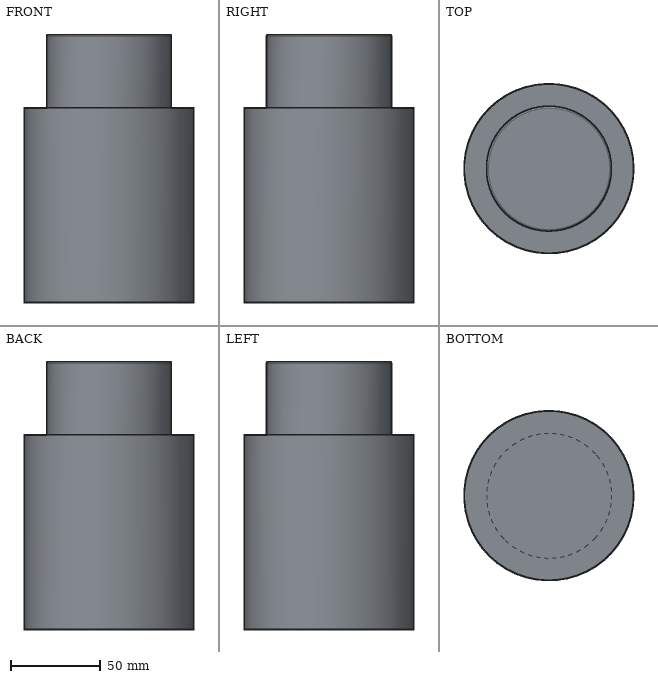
import cadquery as cq

body_diameter = 95.0
neck_diameter = 70.0
total_height = 150.0
body_height = 109.0
neck_height = total_height - body_height
top_edge_radius = 1.0


def make_body():
    """Wide lower cylinder."""
    return cq.Workplane("XY").circle(body_diameter / 2).extrude(body_height)


def make_neck():
    """Narrower upper cylinder with a rounded top edge."""
    neck = cq.Workplane("XY", origin=(0, 0, body_height)).circle(neck_diameter / 2).extrude(neck_height)
    return neck.faces(">Z").edges().fillet(top_edge_radius)


result = make_body().union(make_neck())